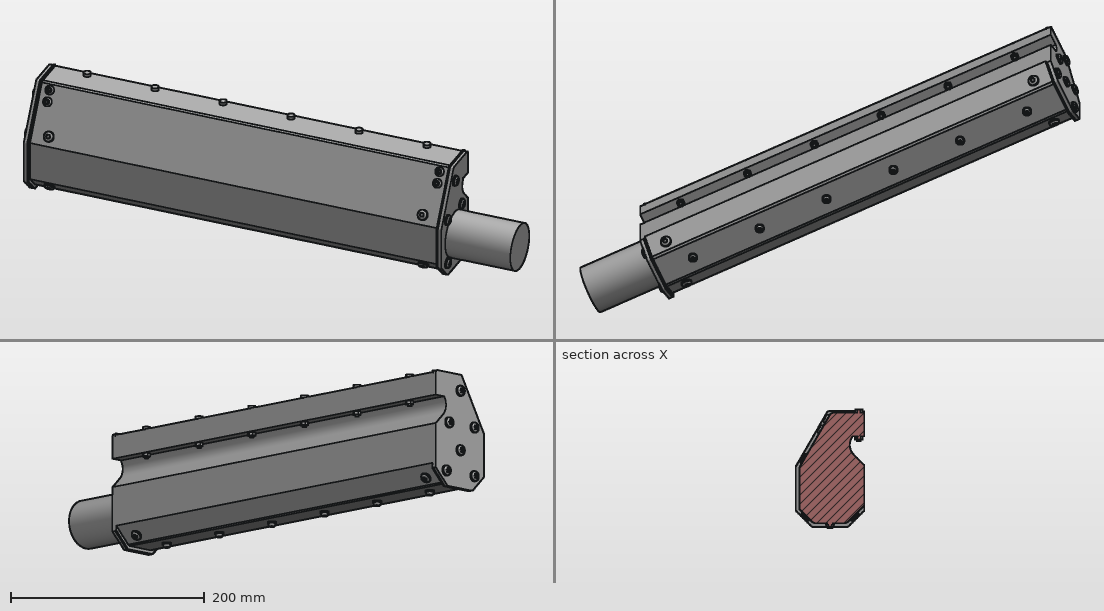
import cadquery as cq
import math


OVERALL_LENGTH = 544.94
OVERALL_WIDTH = 71.12
OVERALL_HEIGHT = 122.73
HALF_WIDTH = OVERALL_WIDTH / 2

BODY_LENGTH = 457.2
PLATE_THICKNESS = 4.0
GASKET_THICKNESS = 1.6
CAP_THICKNESS = PLATE_THICKNESS + GASKET_THICKNESS
GASKET_INSET = 0.25
PLATE_TOP = 80.0
PLATE_BOTTOM = -40.0
PLATE_CORNER_RADIUS = 3.0
SLOPE_ANGLE = math.radians(30)
SLOPE_FOOT_Z = 22.5
BOTTOM_CHAMFER = 17.0
BODY_INSET = 3.8
BODY_TOP_INSET = 1.8
BODY_EDGE_BREAK = 1.6

GROOVE_CEILING_Z = 53.7
GROOVE_AXIS_Z = 45.0
GROOVE_RADIUS = 15.0

TUBE_DIAMETER = 50.8

EMBED = 1.0
DOME_TOP_RATIO = 0.6
DOME_MID_RATIO = (0.87, 0.72)
HEAD_RIM_RATIO = 0.25
SOCKET_FLOOR_RATIO = 0.4
SMALL_HEAD = 7.6
MEDIUM_HEAD = 9.5
MEDIUM_HEAD_HEIGHT = 2.75
LARGE_HEAD = 10.5
LARGE_HEAD_HEIGHT = 2.5
SMALL_COLLAR = 9.0
LARGE_COLLAR = 11.0
LARGE_COLLAR_HEIGHT = 1.0
SMALL_SOCKET = 2.5
MEDIUM_SOCKET = 3.0
LARGE_SOCKET = 4.0
BOTTOM_COLLAR_HEIGHT = 1.6

NUT_FLATS = 7.0
NUT_HEIGHT = 3.2
SHANK_DIAMETER = 4.0
SHANK_END_DROP = 4.9

ROW_COUNT = 6
ROW_PITCH = 76.2
ROW_START_X = 38.1
TOP_ROW_Y = 29.8
TOP_ROW_TIP_Z = 81.6
CAP_SCREWS_YZ = [(0, 62.8), (16.6, 27.0), (-20.6, 27.0), (20.6, -24.3), (-20.6, -24.3)]
UPPER_SLOPE_X = 10.0
UPPER_SLOPE_Z = [71.5, 60.8]
LOWER_SCREW_X = 19.0
LOWER_SLOPE_Z = 30.5
CHAMFER_SCREW_Z = -28.5

BODY_TOP = PLATE_TOP - BODY_TOP_INSET
BODY_BOTTOM = PLATE_BOTTOM + BODY_INSET
BODY_HALF_WIDTH = HALF_WIDTH - BODY_INSET
BODY_SLOPE_FOOT_Z = SLOPE_FOOT_Z - BODY_INSET * math.tan(SLOPE_ANGLE / 2)
CAP_FACES_X = [(-CAP_THICKNESS, -1), (BODY_LENGTH + CAP_THICKNESS, 1)]


def chamfer_leg(inset):
    """Leg of the 45 degree bottom chamfer on an outline offset inward by inset."""
    return BOTTOM_CHAMFER - inset * (2 - math.sqrt(2))


def profile(inset, top_inset, start_x, length):
    """Prism of the housing outline, offset inward on its front, slope and bottom; the back stays put."""
    front = inset - HALF_WIDTH
    top = PLATE_TOP - top_inset
    bottom = PLATE_BOTTOM + inset
    slope_foot = SLOPE_FOOT_Z - inset * math.tan(SLOPE_ANGLE / 2)
    slope_head_y = front + (top - slope_foot) * math.tan(SLOPE_ANGLE)
    leg = chamfer_leg(inset)
    back_leg = leg + inset
    diagonal = GROOVE_RADIUS * math.sqrt(0.5)
    ceiling_rise = GROOVE_CEILING_Z - GROOVE_AXIS_Z
    ceiling_y = HALF_WIDTH - math.sqrt(GROOVE_RADIUS**2 - ceiling_rise**2)
    return (
        cq.Workplane("YZ", origin=(start_x, 0, 0))
        .moveTo(HALF_WIDTH, top)
        .lineTo(slope_head_y, top)
        .lineTo(front, slope_foot)
        .lineTo(front, bottom + leg)
        .lineTo(front + leg, bottom)
        .lineTo(HALF_WIDTH - back_leg, bottom)
        .lineTo(HALF_WIDTH, bottom + back_leg)
        .lineTo(HALF_WIDTH, GROOVE_AXIS_Z - GROOVE_RADIUS * math.sqrt(2))
        .lineTo(HALF_WIDTH - diagonal, GROOVE_AXIS_Z - diagonal)
        .threePointArc((HALF_WIDTH - GROOVE_RADIUS, GROOVE_AXIS_Z), (ceiling_y, GROOVE_CEILING_Z))
        .lineTo(HALF_WIDTH, GROOVE_CEILING_Z)
        .close()
        .extrude(length)
    )


def make_housing():
    """Housing with its front top edge and its bottom edges broken."""
    housing = profile(BODY_INSET, BODY_TOP_INSET, 0, BODY_LENGTH)
    housing = housing.faces(">Z").edges("<Y").chamfer(BODY_EDGE_BREAK)
    return housing.faces("<Z").edges("|X").chamfer(BODY_EDGE_BREAK)


def make_plate(start_x):
    """End plate with rounded top, bottom and front corners."""
    plate = profile(0, 0, start_x, PLATE_THICKNESS)
    return plate.edges("|X").edges("<Z or >Z or <Y").fillet(PLATE_CORNER_RADIUS)


def make_gasket(start_x):
    """Gasket between an end plate and the housing."""
    return profile(GASKET_INSET, GASKET_INSET, start_x, GASKET_THICKNESS)


def hexagon_diameter(flats):
    """Size across corners of a hexagon given its size across flats."""
    return flats / math.cos(math.radians(30))


def make_screw(head, head_height, socket, collar=None, collar_height=0.0):
    """Screw head standing on Z = 0 and pointing to +Z, with a collar under it if one is given."""
    radius = head / 2
    mid_radius_ratio, mid_height_ratio = DOME_MID_RATIO
    dome_mid = (mid_radius_ratio * radius, collar_height + mid_height_ratio * head_height)
    tip = collar_height + head_height
    screw = (
        cq.Workplane("XZ")
        .moveTo(0, -EMBED)
        .lineTo(radius, -EMBED)
        .lineTo(radius, collar_height + HEAD_RIM_RATIO * head_height)
        .threePointArc(dome_mid, (DOME_TOP_RATIO * radius, tip))
        .lineTo(0, tip)
        .close()
        .revolve(360, (0, 0), (0, 1))
    )
    if collar:
        disc = cq.Workplane(origin=(0, 0, -EMBED)).circle(collar / 2).extrude(EMBED + collar_height)
        screw = screw.union(disc)
    socket_floor = collar_height + SOCKET_FLOOR_RATIO * head_height
    hollow = cq.Workplane(origin=(0, 0, socket_floor))
    hollow = hollow.polygon(6, hexagon_diameter(socket)).extrude(head_height)
    return screw.cut(hollow).val()


def make_plain_head(diameter, height):
    """Flat cylindrical head standing on Z = 0."""
    return cq.Workplane(origin=(0, 0, -EMBED)).circle(diameter / 2).extrude(EMBED + height).val()


def make_nut():
    """Nut and shank end hanging from Z = 0, with two nut corners along Y."""
    nut = cq.Workplane(origin=(0, 0, -NUT_HEIGHT)).polygon(6, hexagon_diameter(NUT_FLATS))
    nut = nut.extrude(NUT_HEIGHT + EMBED).rotate((0, 0, 0), (0, 0, 1), 90)
    shank = cq.Workplane(origin=(0, 0, -SHANK_END_DROP)).circle(SHANK_DIAMETER / 2).extrude(SHANK_END_DROP)
    return nut.union(shank).val()


def place(fastener, origin, normal):
    """Copy of a fastener moved to origin with its axis along normal."""
    x_direction = (0, 1, 0) if normal[0] else (1, 0, 0)
    return fastener.moved(cq.Plane(origin, x_direction, normal).location)


def both_ends(distance):
    """X positions at the given distance from each housing end."""
    return [distance, BODY_LENGTH - distance]


large_screw = make_screw(LARGE_HEAD, LARGE_HEAD_HEIGHT, LARGE_SOCKET, LARGE_COLLAR, LARGE_COLLAR_HEIGHT)
large_screw_height = LARGE_COLLAR_HEIGHT + LARGE_HEAD_HEIGHT


def cap_screws():
    """Screws through both end caps; the left cap also has one on the tube axis."""
    screws = [place(large_screw, (-CAP_THICKNESS, 0, 0), (-1, 0, 0))]
    for x, side in CAP_FACES_X:
        for y, z in CAP_SCREWS_YZ:
            screws.append(place(large_screw, (x, y, z), (side, 0, 0)))
    return screws


def slope_screws():
    """Two medium screws and one large screw near each end of the front slope."""
    medium_screw = make_screw(MEDIUM_HEAD, MEDIUM_HEAD_HEIGHT, MEDIUM_SOCKET)
    normal = (0, -math.cos(SLOPE_ANGLE), math.sin(SLOPE_ANGLE))
    spots = [(medium_screw, UPPER_SLOPE_X, z) for z in UPPER_SLOPE_Z]
    spots.append((large_screw, LOWER_SCREW_X, LOWER_SLOPE_Z))
    screws = []
    for screw, distance, z in spots:
        y = (z - BODY_SLOPE_FOOT_Z) * math.tan(SLOPE_ANGLE) - BODY_HALF_WIDTH
        for x in both_ends(distance):
            screws.append(place(screw, (x, y, z), normal))
    return screws


def chamfer_screws():
    """Large screws on the front and back bottom chamfers."""
    drop = BODY_BOTTOM + chamfer_leg(BODY_INSET) - CHAMFER_SCREW_Z
    y = BODY_HALF_WIDTH - drop
    screws = []
    for x in both_ends(LOWER_SCREW_X):
        for side in (-1, 1):
            screws.append(place(large_screw, (x, side * y, CHAMFER_SCREW_Z), (0, side, -1)))
    return screws


def row_fasteners():
    """Plain heads along the top with nuts under them in the groove, and screws along the bottom."""
    bottom_tip_z = TOP_ROW_TIP_Z - OVERALL_HEIGHT
    bottom_height = BODY_BOTTOM - bottom_tip_z - BOTTOM_COLLAR_HEIGHT
    top_head = make_plain_head(SMALL_HEAD, TOP_ROW_TIP_Z - BODY_TOP)
    bottom_screw = make_screw(SMALL_HEAD, bottom_height, SMALL_SOCKET, SMALL_COLLAR, BOTTOM_COLLAR_HEIGHT)
    nut = make_nut()
    fasteners = []
    for i in range(ROW_COUNT):
        x = ROW_START_X + i * ROW_PITCH
        fasteners.append(place(top_head, (x, TOP_ROW_Y, BODY_TOP), (0, 0, 1)))
        fasteners.append(place(nut, (x, TOP_ROW_Y, GROOVE_CEILING_Z), (0, 0, 1)))
        fasteners.append(place(bottom_screw, (x, 0, BODY_BOTTOM), (0, 0, -1)))
    return fasteners


def make_tube():
    """Tube stub leaving the right end cap."""
    end_x = OVERALL_LENGTH - CAP_THICKNESS - large_screw_height
    tube = cq.Workplane("YZ", origin=(BODY_LENGTH, 0, 0)).circle(TUBE_DIAMETER / 2)
    return tube.extrude(end_x - BODY_LENGTH)


result = make_housing()
result = result.union(make_gasket(-GASKET_THICKNESS))
result = result.union(make_gasket(BODY_LENGTH))
result = result.union(make_plate(-CAP_THICKNESS))
result = result.union(make_plate(BODY_LENGTH + GASKET_THICKNESS))
result = result.union(make_tube())
fasteners = cap_screws() + slope_screws() + chamfer_screws() + row_fasteners()
result = cq.Workplane(result.val().fuse(*fasteners).Solids()[0])